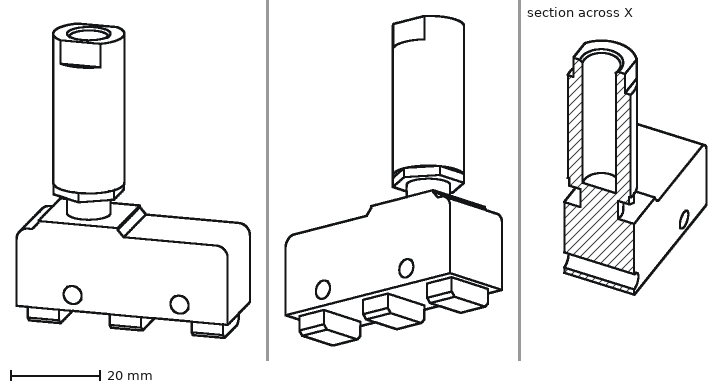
import cadquery as cq

total_height = 66.9
housing_length = 49.3
housing_width = 17.5

housing_bottom = 4.35
housing_top = 22.75
corner_radius = 2.7
boss_height = 2.0
boss_length = 18.5
boss_center_x = -10.3
boss_edge_height = 0.4
boss_ramp_run = 1.4

mount_hole_diameter = 4.2
mount_hole_spacing = 24.95
mount_hole_center_x = 0.95
mount_hole_height = 3.75

tab_length = 7.35
tab_width = 12.3
tab_spacing = 19.1
tab_chamfer = 1.0

plunger_x = -10.4
stem_diameter = 9.8
stem_length = 5.0
nut_across_flats = 14.1
nut_thickness = 2.15
sleeve_diameter = 16.0
flat_spacing = 13.0
flat_height = 5.5
bore_diameter = 8.55
bore_mouth_diameter = 9.8

half_length = housing_length / 2
boss_left = boss_center_x - boss_length / 2
boss_right = boss_center_x + boss_length / 2
boss_top = housing_top + boss_height
nut_bottom = boss_top + stem_length
sleeve_bottom = nut_bottom + nut_thickness
sleeve_length = total_height - sleeve_bottom


def make_housing():
    """Extruded switch body with rounded upper ends and a ramped boss."""
    ramp_top = boss_top - boss_edge_height
    body = (
        cq.Workplane("XZ")
        .moveTo(-half_length, housing_bottom)
        .lineTo(half_length, housing_bottom)
        .lineTo(half_length, housing_top - corner_radius)
        .radiusArc((half_length - corner_radius, housing_top), -corner_radius)
        .lineTo(boss_right + boss_ramp_run, housing_top)
        .lineTo(boss_right, ramp_top)
        .lineTo(boss_right, boss_top)
        .lineTo(boss_left, boss_top)
        .lineTo(boss_left, ramp_top)
        .lineTo(boss_left - boss_ramp_run, housing_top)
        .lineTo(-half_length + corner_radius, housing_top)
        .radiusArc((-half_length, housing_top - corner_radius), -corner_radius)
        .close()
        .extrude(housing_width / 2, both=True)
    )
    hole_z = housing_bottom + mount_hole_height
    holes = (
        cq.Workplane("XZ")
        .pushPoints([(mount_hole_center_x + side * mount_hole_spacing / 2, hole_z) for side in (-1, 1)])
        .circle(mount_hole_diameter / 2)
        .extrude(housing_width, both=True)
    )
    return body.cut(holes)


def make_tab(center_x):
    """Terminal tab with its two lower long edges bevelled."""
    half_width = tab_width / 2
    return (
        cq.Workplane("YZ", origin=(center_x, 0, 0))
        .moveTo(-half_width, housing_bottom)
        .lineTo(-half_width, tab_chamfer)
        .lineTo(-half_width + tab_chamfer, 0)
        .lineTo(half_width - tab_chamfer, 0)
        .lineTo(half_width, tab_chamfer)
        .lineTo(half_width, housing_bottom)
        .close()
        .extrude(tab_length / 2, both=True)
    )


def plunger_plane(height):
    return cq.Workplane("XY", origin=(plunger_x, 0, height))


def make_stem():
    return plunger_plane(boss_top).circle(stem_diameter / 2).extrude(stem_length)


def make_nut():
    """Hexagonal nut with two of its flats facing along X."""
    return (
        plunger_plane(nut_bottom)
        .polygon(6, nut_across_flats, circumscribed=True)
        .extrude(nut_thickness)
    )


def make_sleeve():
    """Sleeve with two wrench flats and a blind, chamfered bore down to the nut."""
    sleeve = plunger_plane(sleeve_bottom).circle(sleeve_diameter / 2).extrude(sleeve_length - flat_height)
    flatted_end = (
        plunger_plane(total_height - flat_height)
        .circle(sleeve_diameter / 2)
        .extrude(flat_height)
        .intersect(
            plunger_plane(total_height - flat_height)
            .rect(sleeve_diameter, flat_spacing)
            .extrude(flat_height)
        )
    )
    bore_chamfer = (bore_mouth_diameter - bore_diameter) / 2
    return (
        sleeve.union(flatted_end)
        .cut(plunger_plane(sleeve_bottom).circle(bore_diameter / 2).extrude(sleeve_length))
        .faces(">Z")
        .edges(cq.selectors.RadiusNthSelector(0))
        .chamfer(bore_chamfer)
    )


result = make_housing()
for tab_x in (-tab_spacing, 0, tab_spacing):
    result = result.union(make_tab(tab_x))
for plunger_piece in (make_stem(), make_nut(), make_sleeve()):
    result = result.union(plunger_piece)